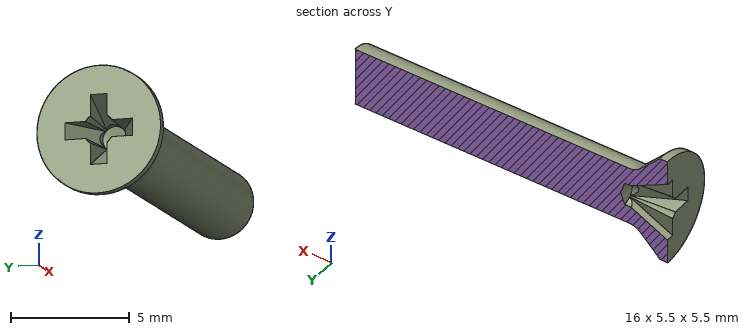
import cadquery as cq
import math

length = 16.0
head_diameter = 5.5
shank_diameter = 3.0
head_height = 1.65
neck_radius = 0.8
countersink_half_angle = math.radians(45)

cross_span = 3.0
wing_width = 0.74
wing_taper = math.radians(26.5)
core_mouth_diameter = 1.38
core_floor_diameter = 1.1
core_tip_half_angle = math.radians(70)

head_radius = head_diameter / 2
shank_radius = shank_diameter / 2


def revolve_about_x(profile):
    return profile.close().revolve(360, (0, 0, 0), (1, 0, 0))


def make_body():
    """Countersunk head, rounded neck and plain shank turned about X."""
    cone_length = (head_radius - shank_radius) / math.tan(countersink_half_angle)
    rim_width = head_height - cone_length

    tangent_length = neck_radius * math.tan(countersink_half_angle / 2)
    neck_end = head_height + tangent_length
    neck_start = (
        head_height - tangent_length * math.cos(countersink_half_angle),
        shank_radius + tangent_length * math.sin(countersink_half_angle),
    )
    neck_middle = (
        neck_end - neck_radius * math.sin(countersink_half_angle / 2),
        shank_radius + neck_radius * (1 - math.cos(countersink_half_angle / 2)),
    )
    profile = (
        cq.Workplane("XY")
        .lineTo(0, head_radius)
        .lineTo(rim_width, head_radius)
        .lineTo(*neck_start)
        .threePointArc(neck_middle, (neck_end, shank_radius))
        .lineTo(length, shank_radius)
        .lineTo(length, 0)
    )
    return revolve_about_x(profile)


def make_recess():
    """Cross-shaped drive: two crossed tapered wings around a conical core."""
    core_floor_radius = core_floor_diameter / 2

    wing_floor_reach = math.sqrt(core_floor_radius**2 - (wing_width / 2) ** 2)
    recess_depth = (cross_span / 2 - wing_floor_reach) / math.tan(wing_taper)
    tip_depth = recess_depth + core_floor_radius / math.tan(core_tip_half_angle)

    core_profile = (
        cq.Workplane("XY")
        .lineTo(0, core_mouth_diameter / 2)
        .lineTo(recess_depth, core_floor_radius)
        .lineTo(tip_depth, 0)
    )
    recess = revolve_about_x(core_profile)

    wing_outline = [
        (0, -cross_span / 2),
        (0, cross_span / 2),
        (recess_depth, wing_floor_reach),
        (recess_depth, -wing_floor_reach),
    ]
    wing_pair = cq.Workplane("XY").polyline(wing_outline).close().extrude(wing_width / 2, both=True)
    for angle in (0, 90):
        recess = recess.union(wing_pair.rotate((0, 0, 0), (1, 0, 0), angle))
    return recess


result = make_body().cut(make_recess())